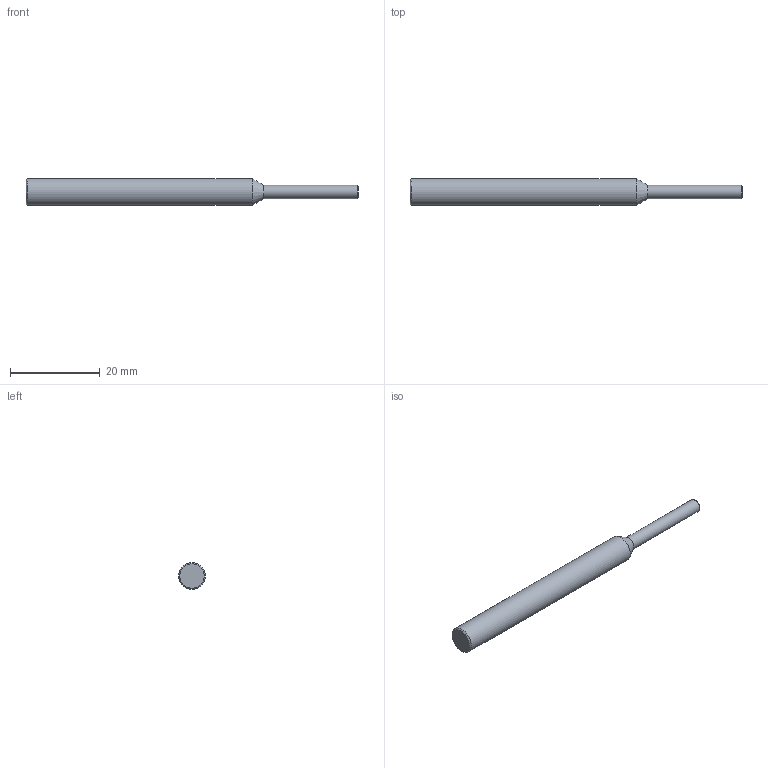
import cadquery as cq
import math

overall_length = 74.0
body_diameter = 6.0
tip_diameter = 3.0
tip_length = 21.0
taper_half_angle = 30.0
body_chamfer = 0.3
tip_chamfer = 0.2

body_radius = body_diameter / 2
tip_radius = tip_diameter / 2
taper_end = overall_length - tip_length
taper_length = (body_radius - tip_radius) / math.tan(math.radians(taper_half_angle))
taper_start = taper_end - taper_length


def stepped_punch():
    """Revolve the half profile of body, taper and tip about the X axis."""
    half_profile = (
        cq.Workplane("XY")
        .moveTo(0, 0)
        .lineTo(0, body_radius - body_chamfer)
        .lineTo(body_chamfer, body_radius)
        .lineTo(taper_start, body_radius)
        .lineTo(taper_end, tip_radius)
        .lineTo(overall_length - tip_chamfer, tip_radius)
        .lineTo(overall_length, tip_radius - tip_chamfer)
        .lineTo(overall_length, 0)
        .close()
    )
    return half_profile.revolve(360, (0, 0, 0), (1, 0, 0))


result = stepped_punch()